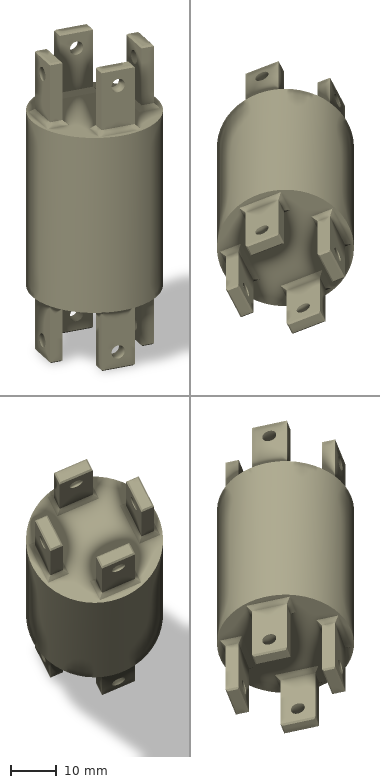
import cadquery as cq

total_height = 72.0
body_diameter = 30.0
body_height = 42.0
blade_width = 8.0
blade_thickness = 3.0
blade_count = 4
blade_radius = 11.0
tip_chamfer = 0.35
collar_size = 1.0
hole_diameter = 3.2
hole_to_tip = 4.0

blade_length = (total_height - body_height) / 2
body_top = body_height / 2
hole_height = total_height / 2 - hole_to_tip


def make_blade():
    """Upper contact blade on the +X side, flat faces toward and away from the axis."""
    blade = (
        cq.Workplane("XY", origin=(blade_radius, 0, body_top))
        .rect(blade_thickness, blade_width)
        .extrude(blade_length)
        .faces(">Z")
        .chamfer(tip_chamfer)
    )
    hole = (
        cq.Workplane("YZ", origin=(blade_radius, 0, hole_height))
        .circle(hole_diameter / 2)
        .extrude(blade_thickness, both=True)
    )
    return blade.cut(hole)


def make_collar():
    """Sloped collar around the foot of the +X blade."""
    return (
        cq.Workplane("XY", origin=(blade_radius, 0, body_top))
        .rect(blade_thickness + 2 * collar_size, blade_width + 2 * collar_size)
        .extrude(collar_size, taper=45)
    )


result = cq.Workplane("XY").cylinder(body_height, body_diameter / 2)

upper_contact = make_blade().union(make_collar())
for index in range(blade_count):
    contact = upper_contact.rotate((0, 0, 0), (0, 0, 1), index * 360 / blade_count)
    result = result.union(contact).union(contact.mirror("XY"))